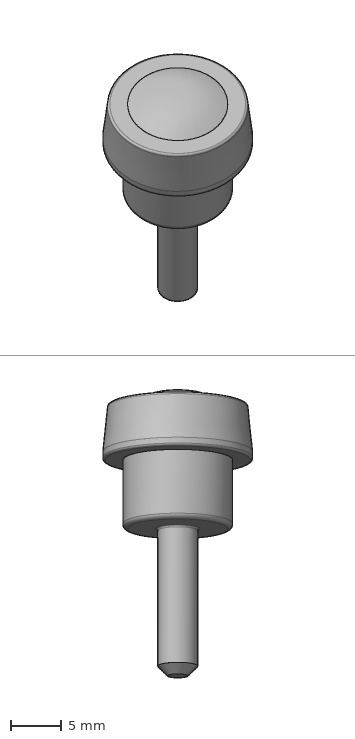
import cadquery as cq

total_height = 29.0
pin_diameter = 4.0
pin_length = 15.0
tip_chamfer = 1.0
pin_root_fillet = 0.2
body_diameter = 11.0
body_height = 7.0
body_edge_fillet = 0.5
head_diameter = 15.0
head_top_diameter = 14.0
head_height = 5.6
head_band_height = 0.85
head_edge_fillet = 0.25
dome_diameter = 10.0

pin_radius = pin_diameter / 2
body_radius = body_diameter / 2
head_radius = head_diameter / 2
head_top_radius = head_top_diameter / 2
dome_radius = dome_diameter / 2
head_bottom = pin_length + body_height
head_top = head_bottom + head_height
dome_height = total_height - head_top
dome_sphere_radius = (dome_radius**2 + dome_height**2) / (2 * dome_height)


def make_pin():
    """Straight pin with a conical tip, reaching up to the body."""
    pin = cq.Workplane("XY").circle(pin_radius).extrude(pin_length)
    return pin.faces("<Z").chamfer(tip_chamfer)


def make_body():
    """Cylindrical collar with a rounded lower edge."""
    body = cq.Workplane("XY").workplane(offset=pin_length).circle(body_radius).extrude(body_height)
    return body.faces("<Z").edges().fillet(body_edge_fillet)


def make_head():
    """Head with a straight band at its foot and a tapered side above it."""
    head = (
        cq.Workplane("XZ")
        .moveTo(0, head_bottom)
        .lineTo(head_radius, head_bottom)
        .lineTo(head_radius, head_bottom + head_band_height)
        .lineTo(head_top_radius, head_top)
        .lineTo(0, head_top)
        .close()
        .revolve(360, (0, 0, 0), (0, 1, 0))
    )
    return head.faces("<Z or >Z").edges().fillet(head_edge_fillet)


def make_dome():
    """Shallow spherical cap on the flat top of the head."""
    sphere_center = total_height - dome_sphere_radius
    sphere = cq.Workplane("XY").sphere(dome_sphere_radius).translate((0, 0, sphere_center))
    core_height = total_height - head_bottom
    core = cq.Workplane("XY").workplane(offset=head_bottom).circle(dome_radius).extrude(core_height)
    return core.intersect(sphere)


def make_shank():
    """Pin and body joined, with a small fillet at the root of the pin."""
    shank = make_pin().union(make_body())
    selection_reach = pin_radius + pin_root_fillet
    root_edge = cq.selectors.BoxSelector(
        (-selection_reach, -selection_reach, pin_length - pin_root_fillet),
        (selection_reach, selection_reach, pin_length + pin_root_fillet),
        boundingbox=True,
    )
    return shank.edges(root_edge).fillet(pin_root_fillet)


result = make_shank().union(make_head()).union(make_dome())